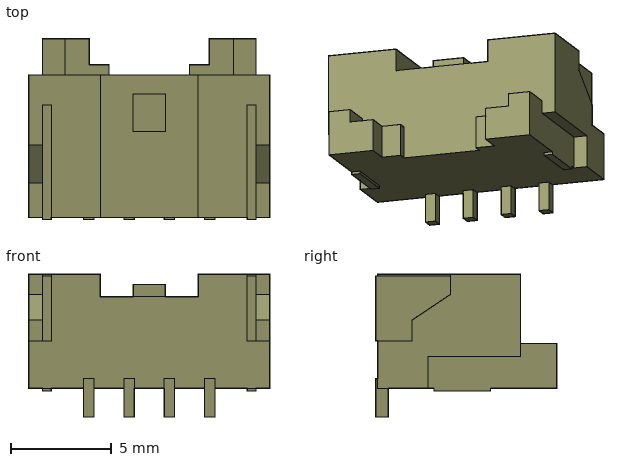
import cadquery as cq

width = 12.0
depth = 7.1
height = 5.68
mid_x = width / 2
front_overhang = 0.1

channel_width = 4.85
channel_floor_z = 4.56
key_width = 1.61
key_front_y = 4.28
key_back_y = 6.15
key_top_z = 5.17

side_inset = 0.68
upper_cut_back_y = 3.61
upper_cut_step_y = 1.72
upper_cut_floor_z = 2.36
slope_low_z = 3.4
slope_high_z = 4.67
lower_cut_front_y = 2.5
lower_cut_top_z = 1.6

plate_thickness = 0.45
plate_back_y = 5.62
plate_sink = 0.08
plate_tab_front_y = 2.8
plate_tab_drop = 0.13

post_back_y = 9.0 - front_overhang
post_outer_width = 1.13
post_width = 2.34
post_outer_top_z = 2.23
post_inner_top_z = lower_cut_top_z
lip_width = 3.32
lip_back_y = 7.61

pin_count = 4
pin_pitch = 2.0
pin_width = 0.53
pin_back_y = 0.53
pin_top_z = 0.48
pin_drop = 1.43


def block(x_range, y_range, z_range):
    """Box spanning the given (low, high) ranges."""
    (x0, x1), (y0, y1), (z0, z1) = x_range, y_range, z_range
    return cq.Workplane("XY").box(x1 - x0, y1 - y0, z1 - z0, centered=False).translate((x0, y0, z0))


def centred(span):
    """Range of the given length about the middle of the width."""
    return (mid_x - span / 2, mid_x + span / 2)


def both_sides(shape):
    """The left-hand shape together with its mirror image on the right."""
    mirrored = shape.mirror("YZ", (mid_x, 0, 0))
    return shape.union(mirrored)


def upper_side_cut():
    """Stepped and sloped corner removed from the left side, above the floor."""
    return (
        cq.Workplane("YZ")
        .moveTo(0, upper_cut_floor_z)
        .lineTo(upper_cut_step_y, upper_cut_floor_z)
        .lineTo(upper_cut_step_y, slope_low_z)
        .lineTo(upper_cut_back_y, slope_high_z)
        .lineTo(upper_cut_back_y, height)
        .lineTo(0, height)
        .close()
        .extrude(side_inset)
    )


def lower_side_cut():
    """Recess under the rear of the left side."""
    return block((0, side_inset), (lower_cut_front_y, depth), (0, lower_cut_top_z))


def plate_slot():
    """Shallow slot left in the top face above the sunken plate."""
    plate_x = (side_inset, side_inset + plate_thickness)
    return block(plate_x, (0, plate_back_y), (height - plate_sink, height))


def side_plate():
    """Metal plate with a tab reaching below the housing."""
    plate_x = (side_inset, side_inset + plate_thickness)
    plate = block(plate_x, (-front_overhang, plate_back_y), (upper_cut_floor_z, height - plate_sink))
    tab = block(plate_x, (plate_tab_front_y, plate_back_y), (-plate_tab_drop, upper_cut_floor_z))
    return plate.union(tab)


def rear_post():
    """Post behind the housing."""
    split_x = side_inset + post_outer_width
    outer = block((side_inset, split_x), (depth, post_back_y), (0, post_outer_top_z))
    inner = block((split_x, side_inset + post_width), (depth, post_back_y), (0, post_inner_top_z))
    lip = block((split_x, side_inset + lip_width), (depth, lip_back_y), (0, post_inner_top_z))
    return outer.union(inner).union(lip)


def pin(index):
    """Contact pin, counted from the left."""
    left_x = mid_x + (index - (pin_count - 1) / 2) * pin_pitch - pin_width / 2
    return block((left_x, left_x + pin_width), (-front_overhang, pin_back_y), (-pin_drop, pin_top_z))


housing = block((0, width), (0, depth), (0, height))
housing = housing.cut(block(centred(channel_width), (0, depth), (channel_floor_z, height)))
housing = housing.union(block(centred(key_width), (key_front_y, key_back_y), (channel_floor_z, key_top_z)))

for side_cut in (upper_side_cut(), lower_side_cut(), plate_slot()):
    housing = housing.cut(both_sides(side_cut))

for side_part in (side_plate(), rear_post()):
    housing = housing.union(both_sides(side_part))

for index in range(pin_count):
    housing = housing.union(pin(index))

result = housing